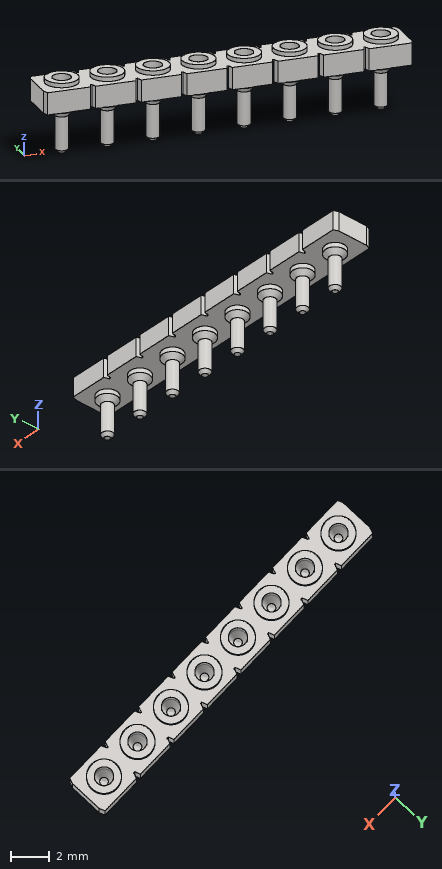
import cadquery as cq
import math

housing_length = 20.55
housing_width = 2.55
housing_height = 1.25
overall_height = 4.2
pin_count = 8
end_overhang = 0.113
pitch = (housing_length - 2 * end_overhang) / pin_count

bevel_depth = 0.3
corner_bevel = 0.12
notch_mouth = 0.29
notch_floor = 0.08

head_diameter = 1.83
head_height = 0.25
collar_diameter = 1.32
collar_drop = 0.29
taper_height = 0.3
tail_diameter = 0.75
tip_diameter = 0.37
tip_height = 0.2

socket_diameter = 1.0
socket_depth = 0.58
funnel_depth = 0.92
funnel_end_diameter = 0.45
drill_point_angle = 118.0

housing_top = overall_height - head_height
housing_bottom = housing_top - housing_height
pin_positions = [(i - (pin_count - 1) / 2) * pitch for i in range(pin_count)]
notch_positions = [x + pitch / 2 for x in pin_positions[:-1]]


def make_block():
    """Housing bar with bevelled vertical corners."""
    half_length = housing_length / 2
    half_width = housing_width / 2
    corner = [
        (half_length, half_width - bevel_depth),
        (half_length - corner_bevel, half_width),
    ]
    far_side = corner + [(-x, y) for x, y in reversed(corner)]
    near_side = [(x, -y) for x, y in reversed(far_side)]
    return (
        cq.Workplane("XY", origin=(0, 0, housing_bottom))
        .polyline(far_side + near_side)
        .close()
        .extrude(housing_height)
    )


def make_notch(x, side):
    """Tapered vertical notch at x, in the +Y (side = 1) or -Y (side = -1) face."""
    face_y = side * housing_width / 2
    floor_y = face_y - side * bevel_depth
    return (
        cq.Workplane("XY", origin=(0, 0, housing_bottom))
        .polyline([
            (x - notch_mouth / 2, face_y),
            (x - notch_floor / 2, floor_y),
            (x + notch_floor / 2, floor_y),
            (x + notch_mouth / 2, face_y),
        ])
        .close()
        .extrude(housing_height)
    )


def make_housing():
    """Bar with a notch pair between neighbouring pins and one through hole per pin."""
    housing = make_block()
    for x in notch_positions:
        for side in (-1, 1):
            housing = housing.cut(make_notch(x, side))
    holes = (
        cq.Workplane("XY", origin=(0, 0, housing_bottom))
        .pushPoints([(x, 0) for x in pin_positions])
        .circle(collar_diameter / 2)
        .extrude(housing_height)
    )
    return housing.cut(holes)


def make_pin(x):
    """Turned pin at x: one half-profile, with its socket, revolved about the pin axis."""
    collar_bottom = housing_bottom - collar_drop
    taper_bottom = collar_bottom - taper_height
    socket_bottom = overall_height - socket_depth
    funnel_bottom = socket_bottom - funnel_depth
    drill_point_height = funnel_end_diameter / 2 / math.tan(math.radians(drill_point_angle / 2))
    drill_point = funnel_bottom - drill_point_height
    half_profile = [
        (0, 0),
        (tip_diameter / 2, 0),
        (tail_diameter / 2, tip_height),
        (tail_diameter / 2, taper_bottom),
        (collar_diameter / 2, collar_bottom),
        (collar_diameter / 2, housing_top),
        (head_diameter / 2, housing_top),
        (head_diameter / 2, overall_height),
        (socket_diameter / 2, overall_height),
        (socket_diameter / 2, socket_bottom),
        (funnel_end_diameter / 2, funnel_bottom),
        (0, drill_point),
    ]
    return (
        cq.Workplane("XZ", origin=(x, 0, 0))
        .polyline(half_profile)
        .close()
        .revolve(360, (0, 0, 0), (0, 1, 0))
    )


housing = make_housing()
pins = [make_pin(x) for x in pin_positions]

result = cq.Compound.makeCompound([housing.val(), *[pin.val() for pin in pins]])